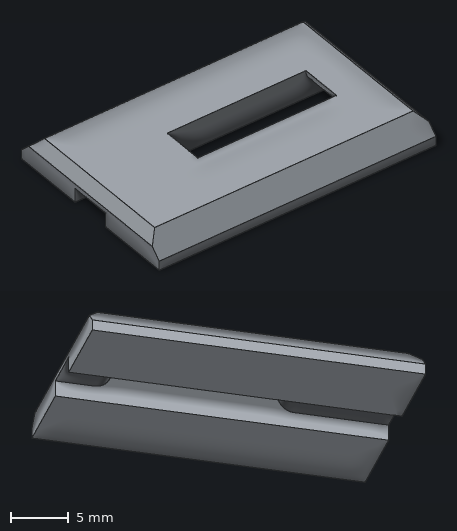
import cadquery as cq
import math

length = 30.0
width = length * 2 / 3
thickness = length / 10

end_bevel = thickness / 3
side_bevel = 2 * end_bevel

window_width = 4.4
window_length = length / 2
window_end_margin = length / 6
groove_depth = thickness / 2
window_round = thickness - groove_depth


def bevelled_profile(plane, span, bevel, depth):
    """Extrude a plate section whose two upper corners are cut at 45 degrees."""
    half = span / 2
    outline = [
        (-half, 0),
        (half, 0),
        (half, thickness - bevel),
        (half - bevel, thickness),
        (-half + bevel, thickness),
        (-half, thickness - bevel),
    ]
    return cq.Workplane(plane).polyline(outline).close().extrude(depth / 2, both=True)


def window():
    """Opening set toward the +Y end, whose end walls round outward into the groove ceiling."""
    end_y = length / 2 - window_end_margin
    start_y = end_y - window_length
    arc_offset = window_round * (1 - math.sqrt(0.5))
    arc_height = groove_depth + arc_offset
    return (
        cq.Workplane("YZ")
        .moveTo(start_y, thickness)
        .threePointArc((start_y - arc_offset, arc_height), (start_y - window_round, groove_depth))
        .lineTo(end_y + window_round, groove_depth)
        .threePointArc((end_y + arc_offset, arc_height), (end_y, thickness))
        .close()
        .extrude(window_width / 2, both=True)
    )


def underside_groove():
    """Groove open at both ends of the plate."""
    return cq.Workplane("XY").rect(window_width, length).extrude(groove_depth)


side_bevelled = bevelled_profile("XZ", width, side_bevel, length)
end_bevelled = bevelled_profile("YZ", length, end_bevel, width)
plate = side_bevelled.intersect(end_bevelled)

result = plate.cut(window()).cut(underside_groove())